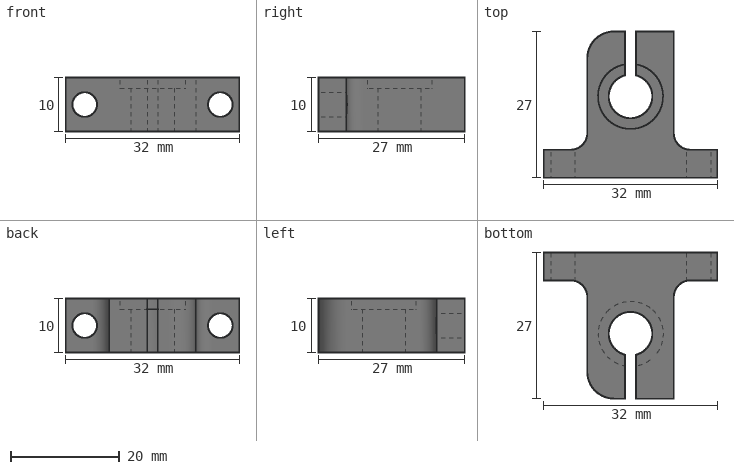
import cadquery as cq


foot_length = 32.0
foot_height = 5.2
collar_width = 16.0
total_height = 27.0
thickness = 10.0

root_radius = 3.0
corner_radius = 5.0

bore_height = 15.0
bore_diameter = 8.0
counterbore_diameter = 12.0
counterbore_depth = 2.0
slot_width = 2.0

mount_diameter = 4.5
mount_spacing = 25.0


def make_body():
    """Foot and collar, with rounded roots and one rounded top corner."""
    foot = cq.Workplane("XY").box(
        foot_length, foot_height, thickness, centered=(True, False, True)
    )
    collar = cq.Workplane("XY").box(
        collar_width, total_height, thickness, centered=(True, False, True)
    )
    body = foot.union(collar)
    for side in (-1, 1):
        root = cq.selectors.NearestToPointSelector((side * collar_width / 2, foot_height, 0))
        body = body.edges("|Z").edges(root).fillet(root_radius)
    top_corner = cq.selectors.NearestToPointSelector((-collar_width / 2, total_height, 0))
    return body.edges("|Z").edges(top_corner).fillet(corner_radius)


def cut_bore(body):
    """Stepped shaft bore, entered from the +Z face."""
    return (
        body.faces(">Z")
        .workplane(origin=(0, bore_height, 0))
        .cboreHole(bore_diameter, counterbore_diameter, counterbore_depth)
    )


def cut_slot(body):
    """Clamping slot from the bore centre out through the top of the collar."""
    slot = (
        cq.Workplane("XY")
        .box(slot_width, total_height - bore_height, thickness, centered=(True, False, True))
        .translate((0, bore_height, 0))
    )
    return body.cut(slot)


def cut_mounting_holes(body):
    """Two holes along Y, long enough to clear the root fillets."""
    holes = (
        cq.Workplane("XZ")
        .pushPoints([(-mount_spacing / 2, 0), (mount_spacing / 2, 0)])
        .circle(mount_diameter / 2)
        .extrude(-total_height)
    )
    return body.cut(holes)


result = cut_mounting_holes(cut_slot(cut_bore(make_body())))